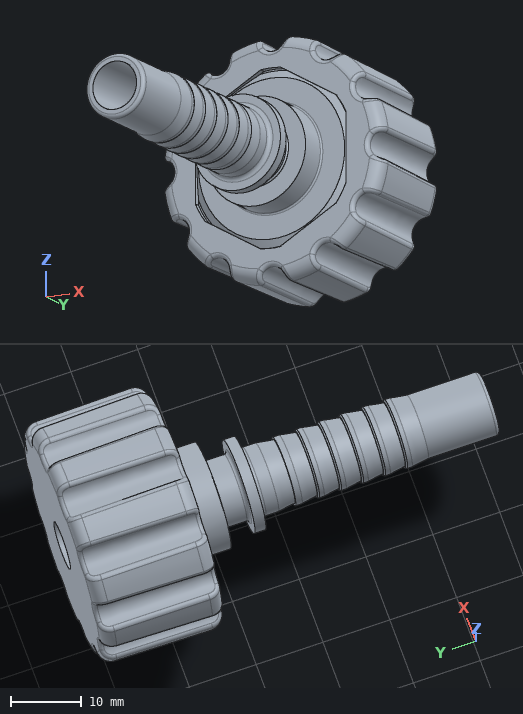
import cadquery as cq
import math

LENGTH = 63.9

KNOB_LENGTH = 18.2
KNOB_FRONT_Y = LENGTH - KNOB_LENGTH
KNOB_FRONT_DIAMETER = 36.1
KNOB_DRAFT = 0.9
KNOB_ROUNDING = 2.0
GROOVE_COUNT = 12
GROOVE_FRONT_RADIUS = 2.0
GROOVE_BOTTOM_RADIUS = 15.7
GROOVE_FILLET = 0.65

NUT_ACROSS_FLATS = 24.2
NUT_ACROSS_CORNERS = 25.8
POCKET_ACROSS_CORNERS = 26.3
NUT_FACE_DIAMETER = 23.5
NUT_CHAMFER_ANGLE = 30.0
NUT_FACE_DEPTH = 0.3
NUT_FACE_Y = KNOB_FRONT_Y + NUT_FACE_DEPTH

COLLAR_DIAMETER = 16.0
COLLAR_FILLET = 0.25
COLLAR_END_Y = 41.4

NECK_DIAMETER = 10.0
NECK_CHAMFER = 0.25
FLANGE_DIAMETER = 14.0
FLANGE_BACK_Y = 37.5
FLANGE_FRONT_Y = 35.85
FLANGE_BACK_FILLET = 0.5
FLANGE_FRONT_FILLET = 0.65

TAIL_DIAMETER = 10.3
TUBE_DIAMETER = 9.5
BORE_DIAMETER = 7.0
TIP_FILLET = 0.6
SLEEVE_END_Y = 33.3
BARB_COUNT = 6
FIRST_BARB_Y = 29.8
LAST_BARB_Y = 13.3
BARB_PITCH = (FIRST_BARB_Y - LAST_BARB_Y) / (BARB_COUNT - 1)
BARB_LENGTH = 0.95
BARB_EDGE_DIAMETER = 10.0
BARB_EDGE_LENGTH = 0.25
LAST_TAPER_END_Y = 10.75


def revolve_profile(profile):
    """Turn a half profile, drawn as (radius, Y), about the Y axis."""
    return profile.close().revolve(360, (0, 0, 0), (0, 1, 0))


def cylinder(diameter, start_y, end_y):
    """Cylinder on the Y axis between two Y positions."""
    return cq.Workplane("XZ", origin=(0, start_y, 0)).circle(diameter / 2).extrude(start_y - end_y)


def is_groove_face(face):
    """Groove walls are the conical faces centred inside the ring of groove axes."""
    center = face.Center()
    axis_ring_radius = GROOVE_BOTTOM_RADIUS + GROOVE_FRONT_RADIUS
    return face.geomType() == "CONE" and math.hypot(center.x, center.z) < axis_ring_radius


def make_knob():
    """Solid knob with rounded rims and filleted finger grooves."""
    front_radius = KNOB_FRONT_DIAMETER / 2
    draft_offset = KNOB_LENGTH * math.tan(math.radians(KNOB_DRAFT))
    knob = revolve_profile(
        cq.Workplane("XY")
        .moveTo(0, KNOB_FRONT_Y)
        .lineTo(front_radius, KNOB_FRONT_Y)
        .lineTo(front_radius - draft_offset, LENGTH)
        .lineTo(0, LENGTH)
    )
    knob = knob.faces("<Y or >Y").edges().fillet(KNOB_ROUNDING)

    axis = cq.Vector(0, 1, 0)
    groove = cq.Solid.makeCone(
        GROOVE_FRONT_RADIUS,
        GROOVE_FRONT_RADIUS + draft_offset,
        KNOB_LENGTH,
        cq.Vector(0, KNOB_FRONT_Y, GROOVE_BOTTOM_RADIUS + GROOVE_FRONT_RADIUS),
        axis,
    )
    for index in range(GROOVE_COUNT):
        knob = knob.cut(cq.Workplane(groove.rotate(cq.Vector(), axis, index * 360 / GROOVE_COUNT)))
    return knob.faces().filter(is_groove_face).edges().fillet(GROOVE_FILLET)


def make_nut_pocket():
    """Hexagonal pocket in the knob front, down to the chamfered nut face sunk in it."""
    pocket_radius = POCKET_ACROSS_CORNERS / 2
    corner_radius = NUT_ACROSS_CORNERS / 2
    face_radius = NUT_FACE_DIAMETER / 2
    chamfer_depth = (corner_radius - face_radius) * math.tan(math.radians(NUT_CHAMFER_ANGLE))
    opening = revolve_profile(
        cq.Workplane("XY")
        .moveTo(0, KNOB_FRONT_Y)
        .lineTo(pocket_radius, KNOB_FRONT_Y)
        .lineTo(pocket_radius, NUT_FACE_Y + chamfer_depth)
        .lineTo(corner_radius, NUT_FACE_Y + chamfer_depth)
        .lineTo(face_radius, NUT_FACE_Y)
        .lineTo(0, NUT_FACE_Y)
    )
    hexagon = (
        cq.Workplane("XZ", origin=(0, KNOB_FRONT_Y, 0))
        .polygon(6, NUT_ACROSS_FLATS, circumscribed=True)
        .extrude(-KNOB_LENGTH)
    )
    return opening.intersect(hexagon)


def make_collar():
    """Nut collar with a small fillet where it meets the nut face."""
    radius = COLLAR_DIAMETER / 2
    return revolve_profile(
        cq.Workplane("XY")
        .moveTo(0, COLLAR_END_Y)
        .lineTo(radius, COLLAR_END_Y)
        .lineTo(radius, NUT_FACE_Y - COLLAR_FILLET)
        .radiusArc((radius + COLLAR_FILLET, NUT_FACE_Y), COLLAR_FILLET)
        .lineTo(0, NUT_FACE_Y)
    )


def make_hose_tail():
    """Neck, flange, barbed stretch and plain tube, turned in one piece."""
    neck_radius = NECK_DIAMETER / 2
    flange_radius = FLANGE_DIAMETER / 2
    tail_radius = TAIL_DIAMETER / 2
    tube_radius = TUBE_DIAMETER / 2

    profile = (
        cq.Workplane("XY")
        .moveTo(0, COLLAR_END_Y)
        .lineTo(neck_radius + NECK_CHAMFER, COLLAR_END_Y)
        .lineTo(neck_radius, COLLAR_END_Y - NECK_CHAMFER)
        .lineTo(neck_radius, FLANGE_BACK_Y + FLANGE_BACK_FILLET)
        .radiusArc((neck_radius + FLANGE_BACK_FILLET, FLANGE_BACK_Y), -FLANGE_BACK_FILLET)
        .lineTo(flange_radius, FLANGE_BACK_Y)
        .lineTo(flange_radius, FLANGE_FRONT_Y)
        .lineTo(tail_radius + FLANGE_FRONT_FILLET, FLANGE_FRONT_Y)
        .radiusArc((tail_radius, FLANGE_FRONT_Y - FLANGE_FRONT_FILLET), -FLANGE_FRONT_FILLET)
        .lineTo(tail_radius, SLEEVE_END_Y)
    )
    for index in range(BARB_COUNT):
        barb_front_y = FIRST_BARB_Y - index * BARB_PITCH
        barb_back_y = barb_front_y + BARB_LENGTH
        profile = profile.lineTo(tube_radius, barb_back_y)
        if index == 0:
            profile = profile.lineTo(tail_radius, barb_back_y)
        else:
            profile = profile.lineTo(BARB_EDGE_DIAMETER / 2, barb_back_y)
            profile = profile.lineTo(tail_radius, barb_back_y - BARB_EDGE_LENGTH)
        profile = profile.lineTo(tail_radius, barb_front_y)

    profile = (
        profile.lineTo(tube_radius, LAST_TAPER_END_Y)
        .lineTo(tube_radius, TIP_FILLET)
        .radiusArc((tube_radius - TIP_FILLET, 0), TIP_FILLET)
        .lineTo(0, 0)
    )
    return revolve_profile(profile)


knob = make_knob().cut(make_nut_pocket())
body = knob.union(make_collar()).union(make_hose_tail())
result = body.cut(cylinder(BORE_DIAMETER, 0, LENGTH))